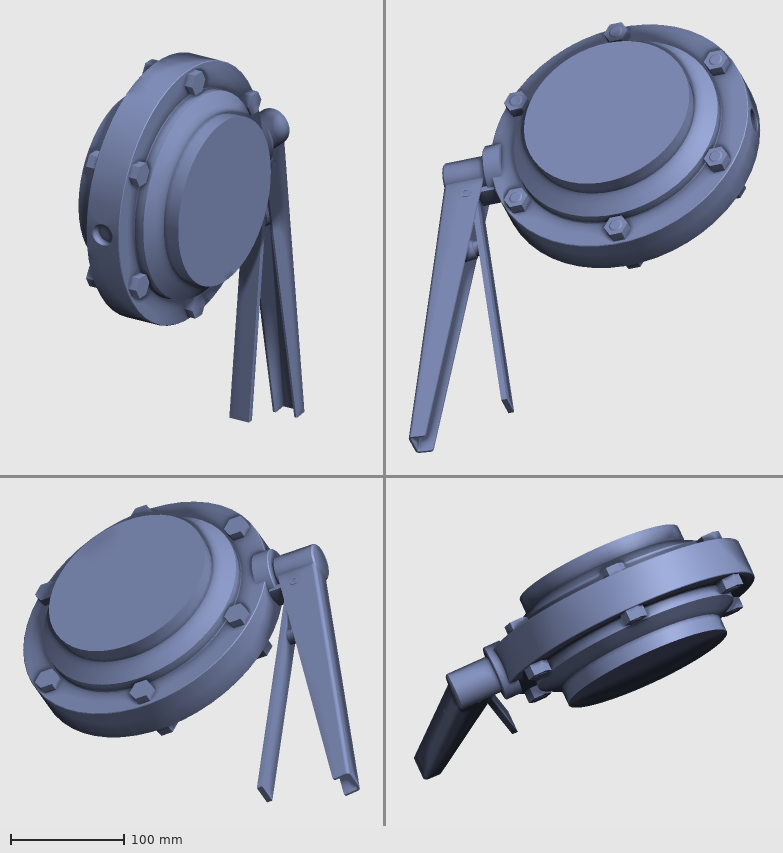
import cadquery as cq
import math

flange_radius = 120.0
flange_half_width = 17.0
flange_edge_chamfer = 0.6
shoulder_radius = 95.0
shoulder_root_flare = 1.0
shoulder_offset = 27.0
neck_radius = 77.0
neck_offset = 37.0
body_half_length = 52.0

bolt_count = 6
bolt_circle_radius = 107.5
hex_across_flats = 19.0
nut_height = 10.0
head_height = 8.0
bolt_end_radius = 6.0
bolt_tip_radius = 5.0
bolt_tip_height = 0.6

port_radius = 9.7
port_depth = 9.0
port_rim_chamfer = 1.0

collar_radius = 25.0
collar_start = 109.5
collar_end = 125.5
collar_chamfer = 1.0
hub_radius = 17.0
hub_end = 165.5
hub_chamfer = 1.5

lean = math.radians(7)
handle_half_width = 12.0
handle_wall = 2.0
handle_corner = 3.2
handle_inner_corner = 1.2
handle_top = 164.0
handle_length = 286.3
handle_top_depth = 37.8
handle_end_depth = 16.0
handle_end_corner = 2.5

lever_end_y = 107.0
lever_end_z = -262.5
lever_thickness = 5.3
lever_top_z = -20.7
tooth_height = 5.3
tooth_tip_y = 119.0

pin_y = 145.0
pin_z = -25.0
pin_radius = 4.5
pin_protrusion = 0.6
pin_dimple_radius = 2.5
pin_dimple_depth = 1.2

spring_radius = 7.0
spring_seat_radius = 8.5
spring_seat_offset = 8.0
spring_z = -79.0


def make_body():
    """Stepped disc with a conical transition to a neck on both sides."""
    half_profile = [
        (flange_half_width, shoulder_radius + shoulder_root_flare),
        (flange_half_width + shoulder_root_flare, shoulder_radius),
        (shoulder_offset, shoulder_radius),
        (neck_offset, neck_radius),
        (body_half_length, neck_radius),
    ]
    mirrored = [(-x, radius) for x, radius in reversed(half_profile)]
    core = (
        cq.Workplane("XY")
        .polyline([(-body_half_length, 0)] + mirrored + half_profile + [(body_half_length, 0)])
        .close()
        .revolve(360, (0, 0, 0), (1, 0, 0))
    )
    flange = (
        cq.Workplane("YZ")
        .circle(flange_radius)
        .extrude(flange_half_width, both=True)
        .edges()
        .chamfer(flange_edge_chamfer)
    )
    port = (
        cq.Workplane("XZ", origin=(0, port_depth - flange_radius, 0))
        .circle(port_radius)
        .extrude(port_depth)
    )
    rim = cq.Solid.makeCone(
        port_radius + port_rim_chamfer,
        port_radius,
        port_rim_chamfer,
        cq.Vector(0, -flange_radius, 0),
        cq.Vector(0, 1, 0),
    )
    return core.union(flange).cut(port).cut(cq.Workplane(rim))


def make_bolt():
    """Nut and bolt head of one bolt, on the X axis, with the chamfered bolt tip proud of the nut."""
    hex_diameter = hex_across_flats / math.cos(math.pi / 6)
    total = 2 * flange_half_width + nut_height + head_height
    nut_face = -flange_half_width - nut_height
    bolt = cq.Workplane("YZ", origin=(nut_face, 0, 0)).polygon(6, hex_diameter).extrude(total)
    tip = cq.Solid.makeCone(
        bolt_end_radius, bolt_tip_radius, bolt_tip_height, cq.Vector(nut_face, 0, 0), cq.Vector(-1, 0, 0)
    )
    gap = cq.Workplane("YZ").circle(hex_diameter).extrude(flange_half_width, both=True)
    shank = cq.Workplane("YZ").circle(bolt_end_radius).extrude(flange_half_width, both=True)
    return bolt.cut(gap).union(shank).union(cq.Workplane(tip))


def add_bolts(body):
    for i in range(bolt_count):
        angle = math.pi / 2 + i * 2 * math.pi / bolt_count
        y = bolt_circle_radius * math.cos(angle)
        z = bolt_circle_radius * math.sin(angle)
        body = body.union(make_bolt().translate((0, y, z)))
    return body


def make_hub():
    """Collar seated on the flange rim and the hub that carries the handle."""
    collar = (
        cq.Workplane("XZ", origin=(0, collar_end, 0))
        .circle(collar_radius)
        .extrude(collar_end - collar_start)
        .faces(">Y")
        .chamfer(collar_chamfer)
    )
    hub = (
        cq.Workplane("XZ", origin=(0, hub_end, 0))
        .circle(hub_radius)
        .extrude(hub_end - collar_end)
        .faces("<Y or >Y")
        .chamfer(hub_chamfer)
    )
    return collar.union(hub)


def make_handle():
    """Tapering channel, open towards the flange."""
    end_y = handle_top + handle_length * math.sin(lean)
    end_z = -handle_length * math.cos(lean)
    inner_end = (end_y - handle_end_depth * math.cos(lean), end_z - handle_end_depth * math.sin(lean))
    outline = [(handle_top, 0), (end_y, end_z), inner_end, (handle_top - handle_top_depth, 0)]
    handle = cq.Workplane("YZ").polyline(outline).close().extrude(handle_half_width, both=True)
    outer_edges = cq.selectors.ParallelDirSelector(cq.Vector(0, math.sin(lean), -math.cos(lean)))
    handle = handle.edges(outer_edges).fillet(handle_corner)
    end_edge = cq.selectors.NearestToPointSelector((0, inner_end[0], inner_end[1]))
    handle = handle.edges("|X").edges(end_edge).fillet(handle_end_corner)

    channel_depth = 2 * handle_top_depth
    channel = (
        cq.Workplane("XY")
        .box(2 * (handle_half_width - handle_wall), channel_depth, 3 * handle_length)
        .edges("|Z and >Y")
        .fillet(handle_inner_corner)
        .translate((0, -channel_depth / 2 - handle_wall, 0))
        .rotate((0, 0, 0), (1, 0, 0), math.degrees(lean))
        .translate((0, handle_top, 0))
    )
    return handle.cut(channel)


def make_lever():
    """Flat bar between the handle cheeks, with a tooth reaching under the collar."""
    top_y = lever_end_y + (lever_top_z - lever_end_z) * math.tan(lean)
    tooth_z = lever_top_z - tooth_height
    tooth_root_y = lever_end_y + (tooth_z - lever_end_z) * math.tan(lean)
    outline = [
        (lever_end_y, lever_end_z),
        (tooth_root_y, tooth_z),
        (tooth_tip_y, tooth_z),
        (tooth_tip_y, lever_top_z),
        (top_y + lever_thickness, lever_top_z),
        (lever_end_y + lever_thickness, lever_end_z),
    ]
    half_width = handle_half_width - handle_wall
    return cq.Workplane("YZ").polyline(outline).close().extrude(half_width, both=True)


def make_spring():
    """Spring housing square to the lever, stepping up to a wider seat on the handle web."""
    start_y = lever_end_y + lever_thickness / 2 + (spring_z - lever_end_z) * math.tan(lean)
    web_y = handle_top - spring_z * math.tan(lean) - handle_wall / 2
    length = web_y - start_y
    axis = cq.Vector(0, math.cos(lean), -math.sin(lean))
    start = cq.Vector(0, start_y, spring_z)
    spring = cq.Solid.makeCylinder(spring_radius, length, start, axis)
    seat_start = start + axis * spring_seat_offset
    seat = cq.Solid.makeCylinder(spring_seat_radius, length - spring_seat_offset, seat_start, axis)
    return cq.Workplane(spring).union(cq.Workplane(seat))


def make_pin():
    """Pivot pin through both handle cheeks, dimpled at each end."""
    half_length = handle_half_width + pin_protrusion
    axis_plane = cq.Workplane("YZ").center(pin_y, pin_z)
    pin = axis_plane.circle(pin_radius).extrude(half_length, both=True)
    dimples = axis_plane.circle(pin_dimple_radius).extrude(half_length, both=True)
    core = axis_plane.circle(pin_radius).extrude(half_length - pin_dimple_depth, both=True)
    return pin.cut(dimples).union(core)


result = add_bolts(make_body()).union(make_hub()).union(make_handle())
result = result.union(make_lever()).union(make_spring()).union(make_pin())